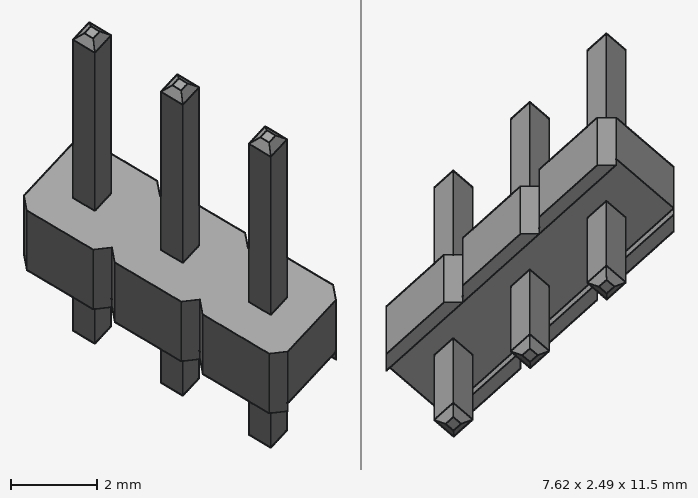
import cadquery as cq

pin_count = 3
pitch = 2.54
pin_length = 11.54
pin_width = 0.63
tip_width = 0.25
tip_height = 0.2

body_depth = 2.49
body_height = 2.28
body_bottom = -2.77
corner_chamfer = 0.31
channel_depth = 0.3
channel_width = body_depth - 2 * corner_chamfer

row_length = pin_count * pitch
pin_positions = [(i - (pin_count - 1) / 2) * pitch for i in range(pin_count)]


def make_cell(x):
    """Insulator block of one pin, with its four vertical corners cut off."""
    return (
        cq.Workplane("XY", origin=(x, 0, body_bottom))
        .rect(pitch, body_depth)
        .extrude(body_height)
        .edges("|Z")
        .chamfer(corner_chamfer)
    )


def make_tip(x, base_z, direction):
    """Tapered pin end, narrowing upward (+1) or downward (-1)."""
    return (
        cq.Workplane("XY", origin=(x, 0, base_z))
        .rect(pin_width, pin_width)
        .workplane(offset=direction * tip_height)
        .rect(tip_width, tip_width)
        .loft(ruled=True)
    )


def make_pin(x):
    """Square pin with a tapered tip at each end."""
    shank_length = pin_length - 2 * tip_height
    pin = cq.Workplane("XY", origin=(x, 0, 0)).box(pin_width, pin_width, shank_length)
    for direction in (1, -1):
        pin = pin.union(make_tip(x, direction * shank_length / 2, direction))
    return pin


body = make_cell(pin_positions[0])
for x in pin_positions[1:]:
    body = body.union(make_cell(x))

channel = (
    cq.Workplane("XY", origin=(0, 0, body_bottom))
    .rect(row_length, channel_width)
    .extrude(channel_depth)
)
result = body.cut(channel)

for x in pin_positions:
    result = result.union(make_pin(x))